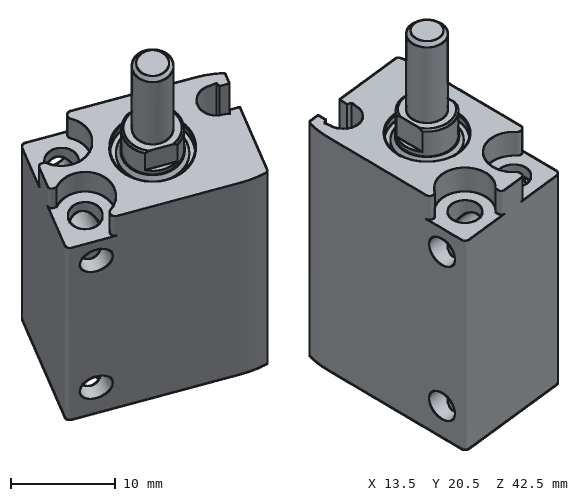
import cadquery as cq
import math

width = 13.5
depth = 20.5
overall_height = 42.5
housing_height = 29.5
front_y = -depth / 2
back_y = depth / 2
front_corner_radius = 0.5

shoulder_radius = 10.0
shoulder_length = 2.85
back_corner_radius = 0.3

hole_diameter = 3.3
hole_from_front = 3.0
hole_x = 3.5
hole_y = front_y + hole_from_front
cross_hole_heights = (4.0, housing_height - 6.0)

pocket_diameter = 5.85
pocket_depth = 3.0
pocket_floor = housing_height - pocket_depth
pocket_side_radius = 0.5
tongue_half_width = 1.6
tongue_radius = 0.4

slot_x = -hole_x
slot_neck_width = 3.0
slot_neck_depth = 1.0
slot_mouth_width = 3.9
slot_mouth_depth = 1.2
slot_round_diameter = 3.7
slot_depth = 3.75

rod_y = front_y + 11.0
rod_diameter = 4.0
rod_chamfer = 0.42
collar_diameter = 6.0
collar_height = 3.0
collar_chamfer = 0.2
collar_top = housing_height + collar_height
flats_width = 5.0
flats_bottom = housing_height + 0.2
rod_insertion = 4.0
rod_bottom = housing_height - rod_insertion

recess_diameter = 8.1
recess_depth = 0.85
recess_chamfer = 0.1
lip_base_diameter = 7.0
lip_top_diameter = 6.15
lip_height = 0.5
recess_floor = housing_height - recess_depth


def cylinder(diameter, x, y, bottom, height):
    """Upright cylinder with its axis at (x, y)."""
    return cq.Workplane("XY", origin=(x, y, bottom)).circle(diameter / 2).extrude(height)


def make_block():
    half = width / 2
    shoulder_y = back_y - shoulder_length

    def shoulder_inset(distance):
        """Distance of the rounding from the side plane, this far past its start."""
        return shoulder_radius - math.sqrt(shoulder_radius**2 - distance**2)

    back_half = half - shoulder_inset(shoulder_length)
    middle_half = half - shoulder_inset(shoulder_length / 2)
    middle_y = shoulder_y + shoulder_length / 2
    block = (
        cq.Workplane("XY")
        .moveTo(-half, front_y)
        .lineTo(half, front_y)
        .lineTo(half, shoulder_y)
        .threePointArc((middle_half, middle_y), (back_half, back_y))
        .lineTo(-back_half, back_y)
        .threePointArc((-middle_half, middle_y), (-half, shoulder_y))
        .close()
        .extrude(housing_height)
    )
    block = block.edges("|Z and <Y").fillet(front_corner_radius)
    return block.edges("|Z and >Y").fillet(back_corner_radius)


def make_sensor_slot():
    neck = slot_neck_width / 2
    mouth = slot_mouth_width / 2
    radius = slot_round_diameter / 2
    round_y = radius - slot_depth
    return (
        cq.Workplane("XY", origin=(slot_x, back_y, 0))
        .moveTo(-neck, 0)
        .lineTo(-neck, -slot_neck_depth)
        .lineTo(-mouth, -slot_mouth_depth)
        .lineTo(-radius, round_y)
        .threePointArc((0, -slot_depth), (radius, round_y))
        .lineTo(mouth, -slot_mouth_depth)
        .lineTo(neck, -slot_neck_depth)
        .lineTo(neck, 0)
        .close()
        .extrude(housing_height)
    )


def make_side_opening():
    """Part of the pocket that reaches the +X side, bounded by a round tangent to both walls."""
    side_x = width / 2
    pocket_radius = pocket_diameter / 2
    center_distance = pocket_radius + pocket_side_radius
    center_x = side_x - pocket_side_radius
    center_y = hole_y + math.sqrt(center_distance**2 - (center_x - hole_x) ** 2)
    along = pocket_radius / center_distance
    tangent_point = (hole_x + along * (center_x - hole_x), hole_y + along * (center_y - hole_y))
    return (
        cq.Workplane("XY", origin=(0, 0, pocket_floor))
        .moveTo(hole_x, front_y)
        .lineTo(side_x, front_y)
        .lineTo(side_x, center_y)
        .threePointArc((center_x, center_y - pocket_side_radius), tangent_point)
        .lineTo(hole_x, hole_y)
        .close()
        .extrude(pocket_depth)
    )


def make_right_pocket():
    """Round pocket on the +X side, opened to the side face and to the front face."""
    pocket = cylinder(pocket_diameter, hole_x, hole_y, pocket_floor, pocket_depth)
    front_opening = cq.Workplane("XY").box(
        width / 2 - tongue_half_width, hole_from_front, pocket_depth, centered=False
    )
    front_opening = front_opening.translate((tongue_half_width, front_y, pocket_floor))
    return pocket.union(make_side_opening()).union(front_opening)


def round_upright_edge(body, x, y, radius):
    """Fillet the upright edge at (x, y) between the pocket floor and the top face."""
    reach = 0.05
    edge_middle = housing_height - pocket_depth / 2
    selector = cq.selectors.BoxSelector(
        (x - reach, y - reach, edge_middle - reach),
        (x + reach, y + reach, edge_middle + reach),
    )
    return body.edges(selector).fillet(radius)


def cut_pockets(body):
    pocket = make_right_pocket()
    body = body.cut(pocket).cut(pocket.mirror("YZ"))
    for side in (-1, 1):
        body = round_upright_edge(body, side * tongue_half_width, front_y, tongue_radius)
    return body


def cut_mounting_holes(body):
    for x in (-hole_x, hole_x):
        body = body.cut(cylinder(hole_diameter, x, hole_y, 0, housing_height))
    for z in cross_hole_heights:
        cross_hole = (
            cq.Workplane("YZ", origin=(-width / 2, hole_y, z)).circle(hole_diameter / 2).extrude(width)
        )
        body = body.cut(cross_hole)
    return body


def cut_rod_seat(body):
    """Recess with its conical lip, then the blind bore that holds the collar."""
    recess = cylinder(recess_diameter, 0, rod_y, recess_floor, recess_depth)
    rim = (
        cq.Workplane("XY", origin=(0, rod_y, housing_height - recess_chamfer))
        .circle(recess_diameter / 2)
        .workplane(offset=recess_chamfer)
        .circle(recess_diameter / 2 + recess_chamfer)
        .loft()
    )
    lip = (
        cq.Workplane("XY", origin=(0, rod_y, recess_floor))
        .circle(lip_base_diameter / 2)
        .workplane(offset=lip_height)
        .circle(lip_top_diameter / 2)
        .loft()
    )
    bore = cylinder(collar_diameter, 0, rod_y, rod_bottom, rod_insertion)
    return body.cut(recess).cut(rim).union(lip).cut(bore)


def make_housing():
    body = make_block().cut(make_sensor_slot())
    body = cut_pockets(body)
    body = cut_mounting_holes(body)
    return cut_rod_seat(body)


def make_rod():
    collar = cylinder(collar_diameter, 0, rod_y, rod_bottom, collar_top - rod_bottom)
    collar = collar.faces(">Z").edges().chamfer(collar_chamfer)
    flats_height = collar_top - flats_bottom
    between_flats = cq.Workplane("XY", origin=(0, rod_y, flats_bottom)).box(
        flats_width, collar_diameter, flats_height, centered=(True, True, False)
    )
    round_part = cylinder(collar_diameter, 0, rod_y, rod_bottom, flats_bottom - rod_bottom)
    collar = collar.intersect(between_flats.union(round_part))
    shank = cylinder(rod_diameter, 0, rod_y, collar_top, overall_height - collar_top)
    shank = shank.faces(">Z").edges().chamfer(rod_chamfer)
    return collar.union(shank)


housing = make_housing()
rod = make_rod()

result = cq.Compound.makeCompound([housing.val(), rod.val()])